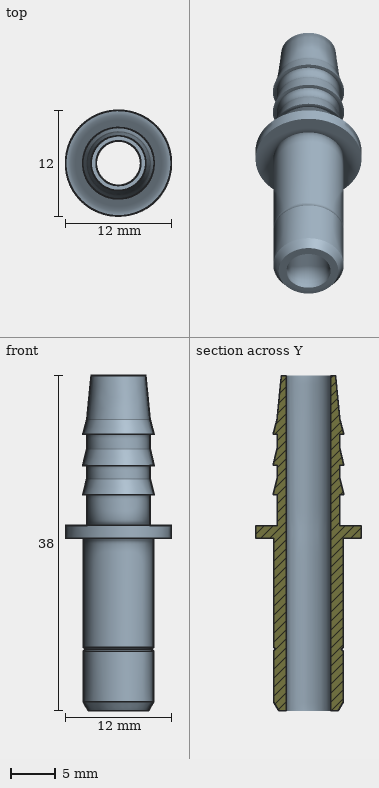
import cadquery as cq

total_height = 38.0
bore_diameter = 5.0

stem_diameter = 7.98
stem_end_diameter = 6.75
stem_chamfer_height = 1.03
groove_center_z = 7.0
groove_width = 0.45
groove_depth = 0.23

flange_diameter = 12.0
flange_bottom_z = 19.55
flange_thickness = 1.5
flange_top_z = flange_bottom_z + flange_thickness

neck_diameter = 7.2
barb_diameter = 8.1
tip_diameter = 6.2
barb_spans = [(24.47, 26.3), (27.78, 29.7), (31.3, 33.02)]
nose_bottom_z = barb_spans[-1][1]


def cone(bottom_diameter, top_diameter, bottom_z, top_z):
    """Solid cone frustum around the Z axis."""
    return cq.Workplane("XY").add(
        cq.Solid.makeCone(
            bottom_diameter / 2,
            top_diameter / 2,
            top_z - bottom_z,
            pnt=cq.Vector(0, 0, bottom_z),
        )
    )


def cylinder(diameter, bottom_z, top_z):
    """Solid cylinder around the Z axis."""
    return cq.Workplane("XY", origin=(0, 0, bottom_z)).circle(diameter / 2).extrude(top_z - bottom_z)


def v_groove():
    """Ring with a triangular section that cuts the groove into the stem."""
    outer_radius = stem_diameter / 2
    half_width = groove_width / 2
    section = [
        (outer_radius, groove_center_z - half_width),
        (outer_radius - groove_depth, groove_center_z),
        (outer_radius, groove_center_z + half_width),
    ]
    return cq.Workplane("XZ").polyline(section).close().revolve(360, (0, 0, 0), (0, 1, 0))


stem = cylinder(stem_diameter, stem_chamfer_height, flange_bottom_z)
stem = stem.union(cone(stem_end_diameter, stem_diameter, 0, stem_chamfer_height))
stem = stem.cut(v_groove())

body = stem.union(cylinder(flange_diameter, flange_bottom_z, flange_top_z))
body = body.union(cylinder(neck_diameter, flange_top_z, nose_bottom_z))

for barb_bottom_z, barb_top_z in barb_spans:
    body = body.union(cone(barb_diameter, neck_diameter, barb_bottom_z, barb_top_z))

body = body.union(cone(neck_diameter, tip_diameter, nose_bottom_z, total_height))

result = body.cut(cylinder(bore_diameter, 0, total_height))